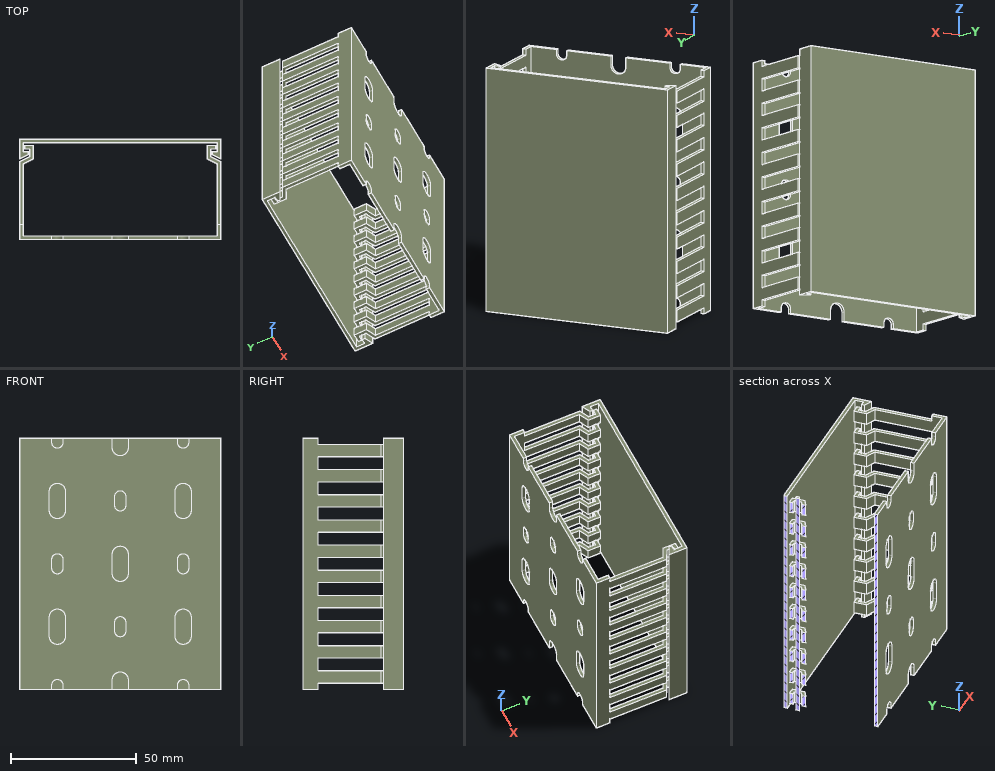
import cadquery as cq
import math

width = 80.0
depth = 40.0
length = 100.0
wall = 1.5
clearance = 0.5

half_width = width / 2
half_length = length / 2
floor_y = -depth / 2
cover_y = depth / 2

finger_pitch = 10.0
finger_gap = 5.0
finger_count = round(length / finger_pitch)
finger_root_y = floor_y + 6.0

hook_inset = 5.5
hook_tip_inset = wall + clearance
hook_top_y = cover_y - 2.5
hook_knee_y = cover_y - 9.0
knee_slope = 0.5
knee_drop = wall * (math.hypot(1, knee_slope) - knee_slope)

skirt_end_y = cover_y - 8.0
lip_top_y = cover_y - 5.0
lip_inset = hook_inset - wall - clearance

slot_spacing = 25.0
large_slot_length = 14.0
large_slot_width = 6.5
small_slot_length = 8.0
small_slot_width = 4.5


def mirrored_extrusion(half_outline):
    """Extrude a section given by its +X half, which starts and ends on X = 0."""
    left_half = [(-x, y) for x, y in reversed(half_outline) if x > 0]
    section = cq.Workplane("XY", origin=(0, 0, -half_length)).polyline(half_outline + left_half)
    return section.close().extrude(length)


def make_trough_profile():
    hook_inner_x = half_width - hook_inset
    hook_outer_x = hook_inner_x + wall
    wall_inner_x = half_width - wall
    inner_knee_y = hook_knee_y - knee_drop
    return mirrored_extrusion([
        (0, floor_y),
        (half_width, floor_y),
        (half_width, hook_knee_y),
        (hook_outer_x, hook_knee_y + knee_slope * (half_width - hook_outer_x)),
        (hook_outer_x, hook_top_y - wall),
        (half_width - hook_tip_inset, hook_top_y - wall),
        (half_width - hook_tip_inset, hook_top_y),
        (hook_inner_x, hook_top_y),
        (hook_inner_x, inner_knee_y + knee_slope * (wall_inner_x - hook_inner_x)),
        (wall_inner_x, inner_knee_y),
        (wall_inner_x, floor_y + wall),
        (0, floor_y + wall),
    ])


def cut_finger_gaps(trough):
    """Cut both side walls between the fingers, with half a gap at each end of the duct."""
    for index in range(finger_count + 1):
        gap = cq.Workplane("XY").box(width, depth, finger_gap, centered=(True, False, True))
        gap_z = index * finger_pitch - half_length
        trough = trough.cut(gap.translate((0, finger_root_y, gap_z)))
    return trough


def cut_mounting_slots(trough):
    """Alternate large and small slots over the floor; the end rows are cut in half by the ends."""
    for column in range(-1, 2):
        for row in range(-2, 3):
            is_large = (column + row) % 2 == 0
            slot_length = large_slot_length if is_large else small_slot_length
            slot_width = large_slot_width if is_large else small_slot_width
            slot = (
                cq.Workplane("XZ", origin=(0, floor_y + wall, 0))
                .center(column * slot_spacing, row * slot_spacing)
                .slot2D(slot_length, slot_width, 90)
                .extrude(wall)
            )
            trough = trough.cut(slot)
    return trough


def make_trough():
    return cut_mounting_slots(cut_finger_gaps(make_trough_profile()))


def make_cover():
    lip_x = half_width - lip_inset
    skirt_inner_x = half_width - wall
    return mirrored_extrusion([
        (0, cover_y),
        (half_width, cover_y),
        (half_width, skirt_end_y),
        (lip_x, skirt_end_y + knee_slope * lip_inset),
        (lip_x, lip_top_y),
        (skirt_inner_x, lip_top_y),
        (skirt_inner_x, cover_y - wall),
        (0, cover_y - wall),
    ])


trough = make_trough()
cover = make_cover()

result = cq.Compound.makeCompound([trough.val(), cover.val()])